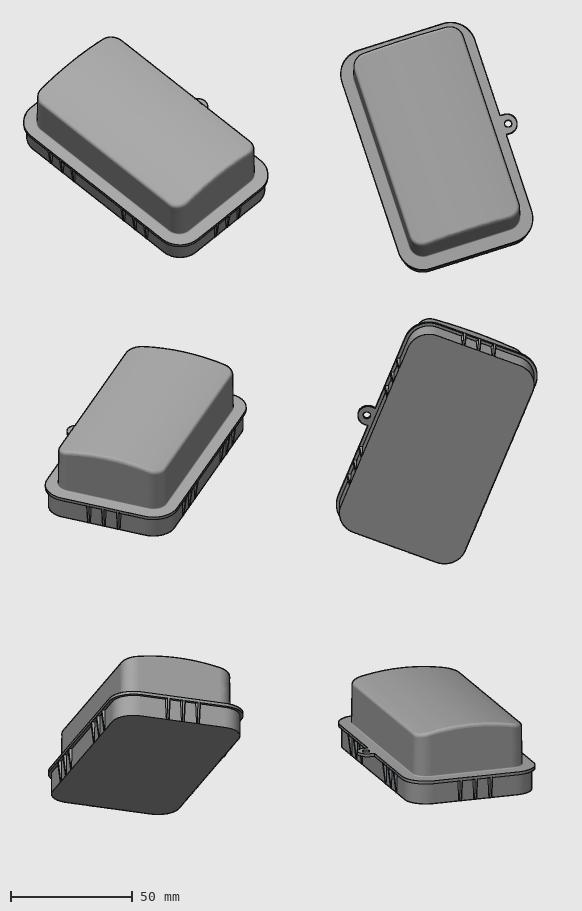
import cadquery as cq

LENGTH = 96.5
WIDTH = 57.3
FLANGE_THICKNESS = 1.3
FLANGE_CORNER = 10.4

PLUG_HEIGHT = 9.0
PLUG_INSET = 1.3

TOTAL_HEIGHT = 30.9
COVER_INSET_X = 5.5
COVER_INSET_Y = 5.0
COVER_CORNER = 5.8
COVER_DRAFT = 0.7
ROOF_RADIUS = 88.8
ROOF_FILLET = 1.4
FOOT_FILLET = 0.5

TAB_REACH = 5.8
TAB_RADIUS = 4.15
HOLE_REACH = 2.1
HOLE_DIAMETER = 3.0

RIB_PITCH = 6.6
RIB_GROUP_X = 21.0
RIB_TOP_ROOT = 2.1
RIB_TOP_TIP = 1.0
RIB_BOTTOM_ROOT = 1.3
RIB_BOTTOM_TIP = 0.7
RIB_BOTTOM_HEIGHT = 0.1
RIB_OVERLAP = 0.3

FLANGE_TOP = PLUG_HEIGHT + FLANGE_THICKNESS
COVER_LENGTH = LENGTH - 2 * COVER_INSET_X
COVER_WIDTH = WIDTH - 2 * COVER_INSET_Y


def rounded_block(length, width, height, corner, base_z):
    block = cq.Workplane("XY").workplane(offset=base_z).rect(length, width).extrude(height)
    return block.edges("|Z").fillet(corner)


def make_cover():
    outline = cq.Sketch().rect(COVER_LENGTH, COVER_WIDTH).vertices().fillet(COVER_CORNER)
    height = TOTAL_HEIGHT - FLANGE_TOP
    walls = (
        cq.Workplane("XY")
        .workplane(offset=FLANGE_TOP)
        .placeSketch(outline)
        .extrude(height, taper=COVER_DRAFT)
    )
    roof = (
        cq.Workplane("YZ")
        .center(0, TOTAL_HEIGHT - ROOF_RADIUS)
        .circle(ROOF_RADIUS)
        .extrude(LENGTH / 2, both=True)
    )
    return walls.intersect(roof).faces(">Z").edges().fillet(ROOF_FILLET)


def fillet_foot(body):
    """Round the inner corner where the cover walls meet the flange."""
    reach_x = COVER_LENGTH / 2 + FOOT_FILLET
    reach_y = COVER_WIDTH / 2 + FOOT_FILLET
    foot_edges = cq.selectors.BoxSelector(
        (-reach_x, -reach_y, FLANGE_TOP - FOOT_FILLET),
        (reach_x, reach_y, FLANGE_TOP + FOOT_FILLET),
    )
    return body.edges(foot_edges).fillet(FOOT_FILLET)


def make_tab():
    center_y = WIDTH / 2 + TAB_REACH - TAB_RADIUS
    plate = cq.Workplane("XY").workplane(offset=PLUG_HEIGHT)
    disc = plate.center(0, center_y).circle(TAB_RADIUS).extrude(FLANGE_THICKNESS)
    neck_length = center_y - WIDTH / 2 + TAB_RADIUS
    neck_y = center_y - neck_length / 2
    neck = plate.center(0, neck_y).rect(2 * TAB_RADIUS, neck_length).extrude(FLANGE_THICKNESS)
    hole_y = WIDTH / 2 + HOLE_REACH
    hole = plate.center(0, hole_y).circle(HOLE_DIAMETER / 2).extrude(FLANGE_THICKNESS)
    return disc.union(neck).cut(hole)


def rib_section(root, tip, height):
    """Outline points of a rib that stands out along -Y from the plane Y = 0."""
    return [(-root / 2, RIB_OVERLAP), (-root / 2, 0), (-tip / 2, -height), (tip / 2, -height),
            (root / 2, 0), (root / 2, RIB_OVERLAP)]


def make_rib():
    return (
        cq.Workplane("XY")
        .polyline(rib_section(RIB_BOTTOM_ROOT, RIB_BOTTOM_TIP, RIB_BOTTOM_HEIGHT)).close()
        .workplane(offset=PLUG_HEIGHT)
        .polyline(rib_section(RIB_TOP_ROOT, RIB_TOP_TIP, PLUG_INSET)).close()
        .loft(ruled=True)
    )


def add_ribs(body):
    rib = make_rib()
    steps = (-RIB_PITCH, 0, RIB_PITCH)
    long_side = [group + step for group in (-RIB_GROUP_X, RIB_GROUP_X) for step in steps]
    wall_x = LENGTH / 2 - PLUG_INSET
    wall_y = WIDTH / 2 - PLUG_INSET
    for offsets, wall, first_angle in ((long_side, wall_y, 0), (steps, wall_x, 90)):
        for angle in (first_angle, first_angle + 180):
            for offset in offsets:
                placed = rib.translate((offset, -wall, 0))
                body = body.union(placed.rotate((0, 0, 0), (0, 0, 1), angle))
    return body


flange = rounded_block(LENGTH, WIDTH, FLANGE_THICKNESS, FLANGE_CORNER, PLUG_HEIGHT)
plug = rounded_block(
    LENGTH - 2 * PLUG_INSET, WIDTH - 2 * PLUG_INSET, PLUG_HEIGHT, FLANGE_CORNER - PLUG_INSET, 0
)

result = flange.union(make_tab()).union(make_cover())
result = fillet_foot(result)
result = add_ribs(result.union(plug))